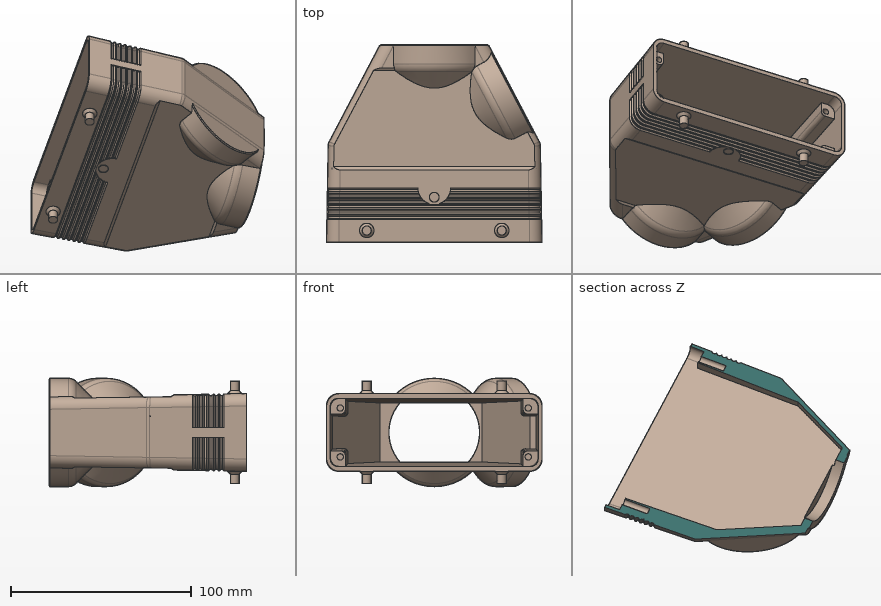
import math

import cadquery as cq


MOUTH_WIDTH = 119.23
MOUTH_HEIGHT = 43.1
TOTAL_LENGTH = 109.2
NECK_LENGTH = 108.6
DRAFT = 1.0
SHOULDER_Y = 54.5
SHOULDER_RADIUS = 4.0
NECK_HALF_WIDTH = 30.3
EDGE_RADIUS = 6.9

RECESS_START_Y = 40.0
RECESS_END_Y = 96.3
RECESS_START_RUN = 1.8
RECESS_END_RUN = 1.3
RECESS_START_HALF_HEIGHT = 19.8
RECESS_END_HALF_HEIGHT = 19.0

PORT_RADIUS = 30.0
PORT_STRAIGHT_LENGTH = 10.7
PORT_BLEND_RADIUS = 6.0
PORT_CONE_ANGLE = 45.0
PORT_CONE_TIP_RADIUS = 15.0
PORT_BORE_RADIUS = 25.0
SIDE_PORT_Y = 82.7
SIDE_PORT_SINK = 0.3
LIP_CHAMFER = 0.6

CAVITY_MOUTH_WIDTH = 115.0
CAVITY_MOUTH_HEIGHT = 37.8
CAVITY_WAIST_WIDTH = 112.4
CAVITY_WAIST_Y = 53.0
CAVITY_CORNER_RADIUS = 4.5
CAVITY_END_Y = 104.0
CAVITY_END_HEIGHT = 32.6
CAVITY_END_LEFT = -29.9
CAVITY_END_RIGHT = 26.3
CAVITY_LEDGE_RIGHT = 52.9

SCREW_X = 51.95
SCREW_Z = 13.5
SCREW_DIAMETER = 3.5
SCREW_DEPTH = 15.0
BOSS_START_Y = 8.2
BOSS_END_Y = 75.0
BOSS_INNER_X = 49.15
BOSS_INNER_Z = 10.2
BOSS_DRAFT = 1.4
BOSS_EDGE_RADIUS = 2.5

PIN_X = 37.3
PIN_Y = 6.5
PIN_DIAMETER = 5.0
PIN_HALF_SPAN = 28.3
PIN_BASE_DIAMETER = 8.0
PIN_BASE_TOP_Z = 23.1

GROOVE_COUNT = 6
GROOVE_PITCH = 2.97
GROOVE_WIDTH = 2.6
GROOVE_FLOOR = 1.0
GROOVE_DEPTH = 0.8
GROOVES_END_Y = 29.9
SIDE_GAP_HALF_HEIGHT = 2.7
PAD_RADIUS = 9.0
DIMPLE_Y = 24.9
DIMPLE_DIAMETER = 5.4
DIMPLE_DEPTH = 0.5

OVERLAP = 1.0

DRAFT_SLOPE = math.tan(math.radians(DRAFT))
SHOULDER_HALF_WIDTH = MOUTH_WIDTH / 2 - SHOULDER_Y * DRAFT_SLOPE
SLANT_SLOPE = (SHOULDER_HALF_WIDTH - NECK_HALF_WIDTH) / (NECK_LENGTH - SHOULDER_Y)
CAVITY_HEIGHT_SLOPE = (CAVITY_MOUTH_HEIGHT - CAVITY_END_HEIGHT) / CAVITY_END_Y
CAVITY_WAIST_HEIGHT = CAVITY_MOUTH_HEIGHT - CAVITY_WAIST_Y * CAVITY_HEIGHT_SLOPE
SLANT_ANGLE = math.degrees(math.atan(SLANT_SLOPE))


def half_width(y):
    """Half width of the drafted shell between the mouth and the shoulder."""
    return MOUTH_WIDTH / 2 - y * DRAFT_SLOPE


def half_height(y):
    """Half height of the drafted shell."""
    return MOUTH_HEIGHT / 2 - y * DRAFT_SLOPE


def plan_prism(points):
    """Prism of an XY outline, taller than the hood."""
    return cq.Workplane("XY").polyline(points).close().extrude(MOUTH_HEIGHT, both=True)


def profile_prism(points):
    """Prism of a (Y, Z) profile, wider than the hood."""
    return cq.Workplane("YZ").polyline(points).close().extrude(MOUTH_WIDTH, both=True)


def mirrored_in_z(solid):
    return solid.union(solid.mirror("XY"))


def section_plane(y):
    """Plane across the hood at the given Y, facing +Y, with its local Y along +Z."""
    return cq.Plane(origin=(0, y, 0), xDir=(-1, 0, 0), normal=(0, 1, 0))


def tapered_block(start, end):
    """Rounded block along Y between two sections, each (y, width, height, corner radius)."""
    start_y = start[0]
    sections = []
    for y, width, height, radius in (start, end):
        section = cq.Sketch().rect(width, height).vertices().fillet(radius)
        sections.append(section.moved(cq.Location(cq.Vector(0, 0, y - start_y))))
    return cq.Workplane(section_plane(start_y)).placeSketch(*sections).loft()


def make_shell():
    right_side = [
        (half_width(0), 0),
        (SHOULDER_HALF_WIDTH, SHOULDER_Y),
        (NECK_HALF_WIDTH, NECK_LENGTH),
    ]
    left_side = [(-x, y) for x, y in reversed(right_side)]
    plan = plan_prism(right_side + left_side)
    for side in (-1, 1):
        shoulder = cq.selectors.NearestToPointSelector((side * SHOULDER_HALF_WIDTH, SHOULDER_Y, 0))
        plan = plan.edges(shoulder).fillet(SHOULDER_RADIUS)
    profile = profile_prism(
        [
            (0, half_height(0)),
            (NECK_LENGTH, half_height(NECK_LENGTH)),
            (NECK_LENGTH, -half_height(NECK_LENGTH)),
            (0, -half_height(0)),
        ]
    )
    shell = plan.intersect(profile)
    long_edges = shell.edges("not(|X or |Z)")
    return long_edges.fillet(EDGE_RADIUS)


def recess_cutters():
    start_z = half_height(RECESS_START_Y)
    end_z = half_height(RECESS_END_Y)
    above = MOUTH_HEIGHT
    cutter = profile_prism(
        [
            (RECESS_START_Y, above),
            (RECESS_START_Y, start_z),
            (RECESS_START_Y + RECESS_START_RUN, RECESS_START_HALF_HEIGHT),
            (RECESS_END_Y - RECESS_END_RUN, RECESS_END_HALF_HEIGHT),
            (RECESS_END_Y, end_z),
            (RECESS_END_Y, above),
        ]
    )
    return mirrored_in_z(cutter)


def make_port():
    """Port along Y with its outer face at Y = 0: cylinder, rounded blend, then a cone."""
    full = math.radians(PORT_CONE_ANGLE)
    half = full / 2
    blend_centre_r = PORT_RADIUS - PORT_BLEND_RADIUS
    blend_mid = (
        blend_centre_r + PORT_BLEND_RADIUS * math.cos(half),
        -PORT_STRAIGHT_LENGTH - PORT_BLEND_RADIUS * math.sin(half),
    )
    blend_end = (
        blend_centre_r + PORT_BLEND_RADIUS * math.cos(full),
        -PORT_STRAIGHT_LENGTH - PORT_BLEND_RADIUS * math.sin(full),
    )
    cone_end_y = blend_end[1] - (blend_end[0] - PORT_CONE_TIP_RADIUS) / math.tan(full)
    return (
        cq.Workplane("XY")
        .moveTo(0, 0)
        .lineTo(PORT_RADIUS - LIP_CHAMFER, 0)
        .lineTo(PORT_RADIUS, -LIP_CHAMFER)
        .lineTo(PORT_RADIUS, -PORT_STRAIGHT_LENGTH)
        .threePointArc(blend_mid, blend_end)
        .lineTo(PORT_CONE_TIP_RADIUS, cone_end_y)
        .lineTo(0, cone_end_y)
        .close()
        .revolve(360, (0, 0, 0), (0, 1, 0))
    )


def end_port():
    return make_port().translate((0, TOTAL_LENGTH, 0))


def side_port():
    """Blind port square to the slanted +X side."""
    turn = SLANT_ANGLE - 90
    side_x = NECK_HALF_WIDTH + (NECK_LENGTH - SIDE_PORT_Y) * SLANT_SLOPE
    port = make_port().translate((0, -SIDE_PORT_SINK, 0))
    return port.rotate((0, 0, 0), (0, 0, 1), turn).translate((side_x, SIDE_PORT_Y, 0))


def screw_boss(side_x, side_z):
    """Drafted boss reaching past the cavity corner on the given sides."""
    width = MOUTH_WIDTH / 2 - BOSS_INNER_X
    height = MOUTH_HEIGHT / 2 - BOSS_INNER_Z
    growth = 2 * (BOSS_END_Y - BOSS_START_Y) * math.tan(math.radians(BOSS_DRAFT))
    boss = tapered_block(
        (BOSS_START_Y, width, height, BOSS_EDGE_RADIUS),
        (BOSS_END_Y, width + growth, height + growth, BOSS_EDGE_RADIUS),
    )
    return boss.translate((side_x * (BOSS_INNER_X + width / 2), 0, side_z * (BOSS_INNER_Z + height / 2)))


def make_cavity():
    chamber = tapered_block(
        (0, CAVITY_MOUTH_WIDTH, CAVITY_MOUTH_HEIGHT, CAVITY_CORNER_RADIUS),
        (CAVITY_WAIST_Y, CAVITY_WAIST_WIDTH, CAVITY_WAIST_HEIGHT, CAVITY_CORNER_RADIUS),
    )
    funnel = plan_prism(
        [
            (-CAVITY_WAIST_WIDTH / 2, CAVITY_WAIST_Y),
            (CAVITY_LEDGE_RIGHT, CAVITY_WAIST_Y),
            (CAVITY_END_RIGHT, CAVITY_END_Y),
            (CAVITY_END_LEFT, CAVITY_END_Y),
        ]
    ).intersect(
        profile_prism(
            [
                (CAVITY_WAIST_Y, CAVITY_WAIST_HEIGHT / 2),
                (CAVITY_END_Y, CAVITY_END_HEIGHT / 2),
                (CAVITY_END_Y, -CAVITY_END_HEIGHT / 2),
                (CAVITY_WAIST_Y, -CAVITY_WAIST_HEIGHT / 2),
            ]
        )
    )
    cavity = chamber.union(funnel)
    for side_x in (-1, 1):
        for side_z in (-1, 1):
            cavity = cavity.cut(screw_boss(side_x, side_z))
    return cavity


def end_bore():
    start_y = CAVITY_END_Y - OVERLAP
    return (
        cq.Workplane(section_plane(start_y)).circle(PORT_BORE_RADIUS).extrude(TOTAL_LENGTH - start_y)
    )


def screw_holes():
    return (
        cq.Workplane(section_plane(BOSS_START_Y))
        .rect(2 * SCREW_X, 2 * SCREW_Z, forConstruction=True)
        .vertices()
        .circle(SCREW_DIAMETER / 2)
        .extrude(SCREW_DEPTH)
    )


def pins():
    root_z = half_height(PIN_Y) - OVERLAP
    surface_z = half_height(PIN_Y)
    pin = (
        cq.Workplane("XZ")
        .moveTo(0, root_z)
        .lineTo(PIN_BASE_DIAMETER / 2, root_z)
        .lineTo(PIN_BASE_DIAMETER / 2, surface_z)
        .lineTo(PIN_DIAMETER / 2, PIN_BASE_TOP_Z)
        .lineTo(PIN_DIAMETER / 2, PIN_HALF_SPAN)
        .lineTo(0, PIN_HALF_SPAN)
        .close()
        .revolve(360, (0, 0, 0), (0, 1, 0))
    )
    pair = pin.translate((-PIN_X, PIN_Y, 0)).union(pin.translate((PIN_X, PIN_Y, 0)))
    return mirrored_in_z(pair)


def inset_section(y, inset):
    """Section of the shell at Y, shrunk by the inset."""
    return y, 2 * (half_width(y) - inset), 2 * (half_height(y) - inset), EDGE_RADIUS - inset


def groove_cutter(end_y):
    """Ring with a trapezoidal section, its upper end at end_y."""
    start_y = end_y - GROOVE_WIDTH
    slope_run = (GROOVE_WIDTH - GROOVE_FLOOR) / 2
    stations = [
        (start_y, 0),
        (start_y + slope_run, GROOVE_DEPTH),
        (end_y - slope_run, GROOVE_DEPTH),
        (end_y, 0),
    ]
    ring = (
        cq.Workplane(section_plane(start_y))
        .rect(2 * MOUTH_WIDTH, 2 * MOUTH_HEIGHT)
        .extrude(GROOVE_WIDTH)
    )
    for (y0, inset0), (y1, inset1) in zip(stations, stations[1:]):
        core = tapered_block(inset_section(y0, inset0), inset_section(y1, inset1))
        ring = ring.cut(core)
    return ring


def grooves():
    cutter = groove_cutter(GROOVES_END_Y)
    for index in range(1, GROOVE_COUNT):
        cutter = cutter.union(groove_cutter(GROOVES_END_Y - index * GROOVE_PITCH))
    side_gap = cq.Workplane("XY").box(3 * MOUTH_WIDTH, TOTAL_LENGTH, 2 * SIDE_GAP_HALF_HEIGHT)
    pad = (
        cq.Workplane("XY")
        .center(0, GROOVES_END_Y)
        .circle(PAD_RADIUS)
        .extrude(2 * MOUTH_HEIGHT, both=True)
    )
    return cutter.cut(side_gap).cut(pad)


def dimples():
    dimple = (
        cq.Workplane("XY", origin=(0, DIMPLE_Y, half_height(DIMPLE_Y) - DIMPLE_DEPTH))
        .circle(DIMPLE_DIAMETER / 2)
        .extrude(MOUTH_HEIGHT)
    )
    return mirrored_in_z(dimple)


result = make_shell().cut(recess_cutters()).cut(grooves()).cut(dimples())
result = result.union(end_port()).union(side_port()).union(pins())
result = result.cut(make_cavity()).cut(end_bore()).cut(screw_holes())